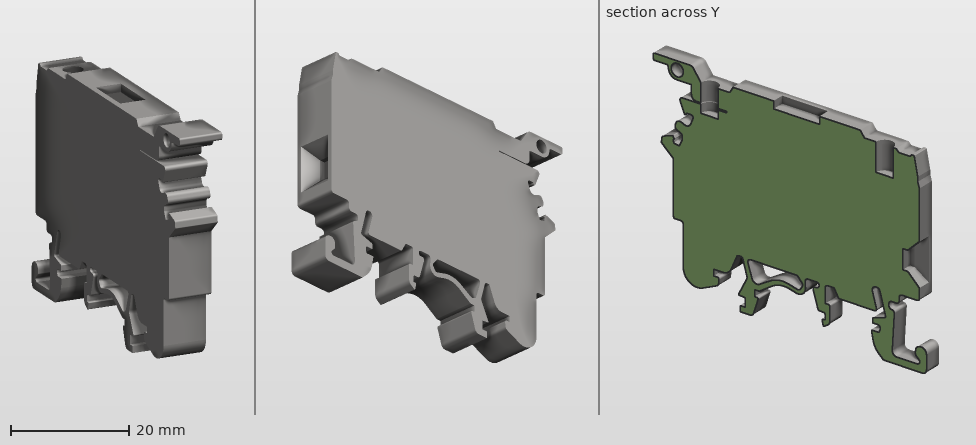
import cadquery as cq
import math

width = 8.0
length = 57.9
height = 43.7

left_wall = 1.5
right_wall = 53.6
shoulder_z = 13.5
rail_z = 10.55
top_z = 42.25
screw_z = 41.05
lip_x = 2.45
lip_top = 5.0
lip_radius = lip_x / 2 - 0.05
foot_floor = 1.5
slit_z = 37.0
slit_height = 0.2

pivot_x = 52.75
pivot_z = 41.9
pivot_diameter = 2.5
tag_bottom = 40.0

screw_diameter = 3.6
screw_depth = 5.8
screw_places = (8.9, 46.0)
top_feature_y = -0.5
window_x = 27.5
window_length = 9.65
window_width = 4.75
window_depth = 1.5
entry_z = 20.45
entry_width = 6.25
entry_height = 8.8
funnel_depth = 2.5
throat_y = -0.7
throat_width = 3.55
throat_height = 3.95
throat_depth = 1.05
web_thickness = 1.0


def rounded_outline(corners):
    """Closed XZ outline from (x, z, radius) corners; radius 0 stays sharp."""
    outline = cq.Workplane("XZ")
    for i, (x, z, radius) in enumerate(corners):
        before = corners[i - 1]
        after = corners[(i + 1) % len(corners)]
        to_before = cq.Vector(before[0] - x, before[1] - z).normalized()
        to_after = cq.Vector(after[0] - x, after[1] - z).normalized()
        corner = cq.Vector(x, z)
        half_angle = to_before.getAngle(to_after) / 2
        setback = radius / math.tan(half_angle)
        arc_start = corner + to_before * setback
        if i == 0:
            outline = outline.moveTo(arc_start.x, arc_start.y)
        else:
            outline = outline.lineTo(arc_start.x, arc_start.y)
        if radius > 0:
            arc_end = corner + to_after * setback
            inward = (to_before + to_after).normalized()
            arc_middle = corner + inward * (radius / math.sin(half_angle) - radius)
            outline = outline.threePointArc((arc_middle.x, arc_middle.y), (arc_end.x, arc_end.y))
    return outline.close()


release_foot_outside = [
    (0, 0, 0.9),
    (0, lip_top, lip_radius),
    (lip_x, lip_top, lip_radius),
    (lip_x, 3.05, 0.35),
    (1.4, 2.0, 0.3),
    (1.85, foot_floor, 0),
    (7.3, foot_floor, 0.9),
    (6.8, 10.15, 0.5),
    (8.0, 10.2, 0.7),
    (8.0, 11.65, 0.65),
    (5.8, 11.65, 0.65),
    (5.8, shoulder_z, 0.6),
]

housing_top = [
    (left_wall, shoulder_z, 0.6),
    (left_wall, 35.0, 0),
    (1.85, 36.15, 0),
    (1.85, 37.05, 0),
    (2.6, 40.9, 0.1),
    (3.25, 40.9, 0),
    (3.5, 40.5, 0),
    (5.85, 40.5, 0),
    (6.4, screw_z, 0),
    (13.15, screw_z, 0),
    (14.0, top_z, 0),
    (40.95, top_z, 0),
    (41.7, screw_z, 0),
    (47.7, screw_z, 0),
]

marker_tag = [
    (49.55, height, 1.15),
    (length, height, 0.35),
    (length, top_z, 0.45),
    (54.7, top_z, 0.35),
    (54.55, tag_bottom, 1.85),
    (49.8, tag_bottom, 0.05),
    (49.8, slit_z + slit_height, 1.05),
    (42.3, slit_z + slit_height, 0),
    (42.3, slit_z, 0),
]

marker_teeth = [
    (52.5, slit_z, 0.6),
    (51.2, 33.8, 0.3),
    (50.8, 33.95, 0.05),
    (50.8, 34.3, 0.05),
    (49.2, 34.3, 0.45),
    (50.3, 31.7, 0.9),
    (52.7, 32.65, 0.85),
    (53.5, 30.75, 0.7),
    (51.75, 30.05, 0.5),
    (51.75, 28.95, 0.4),
    (52.35, 27.7, 0.2),
    (53.45, 27.85, 0.3),
    (53.55, 28.5, 0.1),
    (53.3, 28.65, 0.05),
    (53.7, 29.25, 0.2),
    (56.0, 28.4, 0.45),
    (56.15, 27.15, 0.2),
    (right_wall, 24.85, 0),
]

right_foot = [
    (right_wall, shoulder_z, 0.45),
    (51.55, shoulder_z, 0.45),
    (51.55, 0.25, 3.0),
    (44.0, 3.6, 0.7),
    (43.85, 5.2, 0.4),
    (45.0, 5.2, 0),
    (45.0, 6.35, 0),
    (41.8, 6.35, 2.0),
    (40.0, rail_z, 0.3),
]

spring_foot = [
    (39.0, rail_z, 0.5),
    (38.0, 6.9, 0.85),
    (39.9, 3.1, 0.2),
    (38.4, 2.95, 0),
    (38.4, 1.3, 0),
    (39.45, 1.3, 0),
    (39.45, 0, 0),
    (36.75, 0, 0.9),
    (35.5, 3.9, 0.3),
    (36.35, 3.9, 0),
    (36.35, 5.1, 0),
    (35.45, 5.1, 0.2),
    (31.05, 8.0, 4.65),
    (25.4, 6.6, 1.6),
    (25.7, rail_z, 0.6),
]

left_rail_hook = [
    (22.8, rail_z, 0.45),
    (22.8, 9.55, 0.45),
    (24.25, 9.55, 0.45),
    (23.0, 5.25, 0.5),
    (21.55, 5.2, 0.3),
    (21.55, 3.95, 0),
    (22.25, 3.95, 0.2),
    (21.9, 2.45, 0.2),
    (20.45, 3.5, 1.15),
    (20.45, 7.1, 0.35),
    (21.35, 7.1, 0),
    (21.35, rail_z, 0.35),
]

release_foot_inside = [
    (19.6, rail_z, 0.3),
    (18.65, 8.8, 0.3),
    (10.4, 8.8, 0.45),
    (11.7, 13.4, 0.7),
    (10.1, 13.4, 0.7),
    (8.7, 8.2, 0.35),
    (11.45, 7.4, 0.2),
    (11.45, 6.35, 0),
    (9.9, 6.35, 0.45),
    (9.9, 5.55, 0),
    (10.15, 5.05, 0),
    (11.75, 5.05, 0),
    (11.2, 1.85, 4.35),
    (9.15, 0, 0.6),
]

spring_opening = [
    (27.4, rail_z, 0.2),
    (26.15, 9.15, 0.45),
    (26.9, 7.9, 0.65),
    (31.25, 9.0, 5.2),
    (36.5, 5.85, 1.05),
    (38.0, rail_z, 0.5),
]

trough_web = [
    (1.2, 0.9, 0),
    (1.2, lip_top, 0),
    (7.0, 5.3, 2.2),
    (6.95, 7.8, 0),
    (7.5, 7.8, 0),
    (7.5, 0.9, 0),
]

block_corners = (
    release_foot_outside + housing_top + marker_tag + marker_teeth
    + right_foot + spring_foot + left_rail_hook + release_foot_inside
)
block = rounded_outline(block_corners).extrude(width / 2, both=True)

block = block.cut(rounded_outline(spring_opening).extrude(width / 2, both=True))
pivot_hole = cq.Workplane("XZ").center(pivot_x, pivot_z).circle(pivot_diameter / 2)
block = block.cut(pivot_hole.extrude(width / 2, both=True))

web = rounded_outline(trough_web).extrude(web_thickness).translate((0, width / 2, 0))
block = block.union(web)

for screw_x in screw_places:
    screw_hole = (
        cq.Workplane("XY", origin=(screw_x, top_feature_y, screw_z - screw_depth))
        .circle(screw_diameter / 2)
        .extrude(screw_depth)
    )
    block = block.cut(screw_hole)

window = (
    cq.Workplane("XY", origin=(window_x, top_feature_y, top_z - window_depth))
    .rect(window_length, window_width)
    .extrude(window_depth)
)
block = block.cut(window)

funnel = (
    cq.Workplane("YZ", origin=(left_wall, 0, entry_z))
    .rect(entry_width, entry_height)
    .workplane(offset=funnel_depth)
    .center(throat_y, 0)
    .rect(throat_width, throat_height)
    .loft(ruled=True)
)
throat = (
    cq.Workplane("YZ", origin=(left_wall + funnel_depth, throat_y, entry_z))
    .rect(throat_width, throat_height)
    .extrude(throat_depth)
)
result = block.cut(funnel).cut(throat)